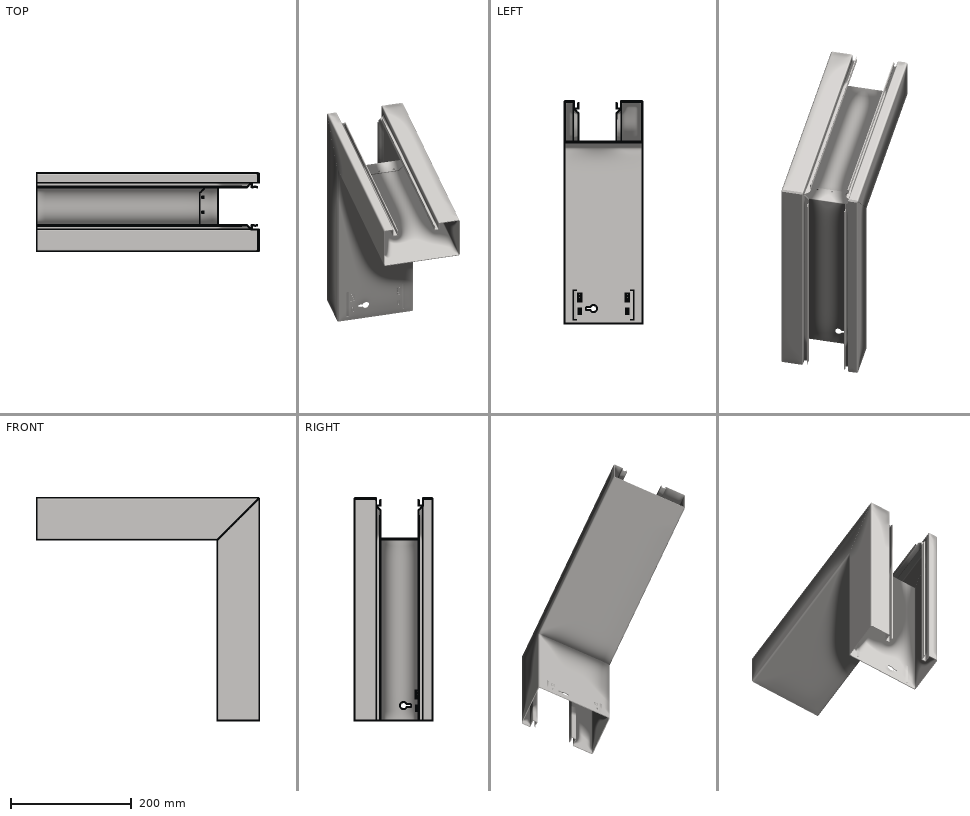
import cadquery as cq
import math

arm_length = 369.52
width = 130.0
depth = 70.0
sheet = 1.3
bend_radius = 3.0

opening_width = 77.0
rear_flange = 16.5
lip_drop = 13.5
lip_shelf = 7.7
lip_bend_radius = 1.8
lip_bead_offset = 0.9
lip_bead_height = 7.2
lip_bead_start = 3.4
lip_relief = 13.5
lip_rise_relief = 30.0

mitre_gap = 0.4
corner_cut = 2.55
joint_tab_length = 30.0
joint_tab_bend = 1.1
rivet_hole_diameter = 3.5
rivet_hole_pitch = 25.0
rivet_hole_edge = 5.0

lance_length = 49.0
lance_width = 4.6
lance_sink = 0.9
lance_inner = 45.2
lance_bottom = 6.8
keyhole_diameter = 11.4
keyhole_slot_width = 4.6
keyhole_corner_radius = 1.15
keyhole_y = 16.6
keyhole_slot_end_y = 29.2
keyhole_z = 25.0
stamp_y = 39.5
stamp_depth = 0.5
stamp_rim = 1.0
stamp_side_rim = 1.3
stamp_pads = 3
stamps = ((6.9, 13.7, 43.5), (4.6, 9.2, 20.6))

half_width = width / 2
inner_corner = arm_length - depth
floor_level = inner_corner + sheet
rear_edge_y = half_width - rear_flange
front_edge_y = rear_edge_y - opening_width


def box(x_range, y_range, z_range):
    size = [high - low for low, high in (x_range, y_range, z_range)]
    return cq.Workplane("XY").box(*size, centered=False).translate((x_range[0], y_range[0], z_range[0]))


def to_other_arm(body):
    """Swap X and Z: carries the horizontal arm's geometry onto the vertical arm."""
    return body.mirror((1, 0, -1))


def cross_prism(points):
    """Prism with the given XZ outline, running across the full width of the part."""
    return cq.Workplane("XZ", origin=(0, half_width, 0)).polyline(points).close().extrude(width)


def rounded_bar(bar_width, bar_depth, radius):
    """Bar along X with rounded long edges, centred on the section of the horizontal arm."""
    bar = cq.Workplane("YZ").rect(bar_width, bar_depth).extrude(arm_length).edges("|X").fillet(radius)
    return bar.translate((0, 0, arm_length - depth / 2))


def trunking_channel():
    """U channel with the opening upwards, running along X."""
    shell = rounded_bar(width, depth, bend_radius)
    bore = rounded_bar(width - 2 * sheet, depth - 2 * sheet, bend_radius - sheet)
    opening_y = (front_edge_y - lip_bend_radius, rear_edge_y + lip_bend_radius)
    opening = box((0, arm_length), opening_y, (arm_length - depth / 2, arm_length))
    return shell.cut(bore).cut(opening)


def lip(edge_y, inward):
    """Rolled lip with its flange bend; inward is the Y direction into the opening."""
    top = arm_length
    shelf_z = top - lip_drop
    tip = lip_shelf - sheet
    rise_z = shelf_z + lip_bend_radius
    lip_top_z = top - lip_bead_start
    bead_z = top - lip_bead_height
    bead_bottom_z = 2 * bead_z - lip_top_z
    flange_overlap = 2 * lip_bend_radius

    outline = [
        (-flange_overlap, top),
        (0, top),
        (0, shelf_z + sheet),
        (tip, shelf_z + sheet),
        (tip, bead_bottom_z),
        (tip - lip_bead_offset, bead_z),
        (tip, lip_top_z),
        (lip_shelf, lip_top_z),
        (lip_shelf - lip_bead_offset, bead_z),
        (lip_shelf, bead_bottom_z),
        (lip_shelf, shelf_z),
        (-sheet, shelf_z),
        (-sheet, top - sheet),
        (-flange_overlap, top - sheet),
    ]
    points = [(edge_y + inward * y, z) for y, z in outline]
    body = cq.Workplane("YZ").polyline(points).close().extrude(arm_length)
    bends = [
        (0, top, lip_bend_radius),
        (-sheet, top - sheet, lip_bend_radius - sheet),
        (-sheet, shelf_z, lip_bend_radius),
        (0, shelf_z + sheet, lip_bend_radius - sheet),
        (lip_shelf, shelf_z, lip_bend_radius),
        (tip, shelf_z + sheet, lip_bend_radius - sheet),
    ]
    for y, z, radius in bends:
        corner = cq.selectors.NearestToPointSelector((arm_length / 2, edge_y + inward * y, z))
        body = body.edges(corner).fillet(radius)

    reach = lip_shelf + sheet
    relief = (
        cq.Workplane("XY")
        .polyline([
            (arm_length - lip_relief, edge_y),
            (arm_length - lip_relief - reach, edge_y + inward * reach),
            (arm_length, edge_y + inward * reach),
            (arm_length, edge_y),
        ])
        .close()
        .extrude(arm_length)
    )
    rise_inner_y = edge_y + inward * (tip - lip_bead_offset)
    rise_outer_y = edge_y + inward * lip_shelf
    rise_x = (arm_length - lip_rise_relief, arm_length)
    rise_relief = box(rise_x, sorted((rise_inner_y, rise_outer_y)), (rise_z, top))
    return body.cut(relief).cut(rise_relief)


def horizontal_arm():
    arm = trunking_channel()
    arm = arm.union(lip(rear_edge_y, -1)).union(lip(front_edge_y, 1))
    beyond_mitre = cross_prism([(0, 0), (arm_length, arm_length), (arm_length, 0)])
    return arm.cut(beyond_mitre)


def cut_mitre_joint(body):
    """Open the mitre seam in the walls and take off the outer corner."""
    seam_start = inner_corner + bend_radius
    seam_end = arm_length - bend_radius
    gap_step = mitre_gap / math.sqrt(2)
    seam = cross_prism([
        (seam_start, seam_start + gap_step),
        (seam_end, seam_end + gap_step),
        (seam_end + gap_step, seam_end),
        (seam_start + gap_step, seam_start),
    ])
    corner = cross_prism([
        (arm_length - corner_cut, arm_length),
        (arm_length, arm_length),
        (arm_length, arm_length - corner_cut),
    ])
    return body.cut(seam).cut(corner)


def add_joint_tab(body):
    """Tapered tab folded from the vertical arm onto the floor of the horizontal arm."""
    tab_root_y = half_width - bend_radius
    tab_end_x = floor_level - joint_tab_length
    tab_end_y = tab_root_y - joint_tab_length
    tab = (
        cq.Workplane("XY", origin=(0, 0, floor_level))
        .polyline([(floor_level, -tab_root_y), (floor_level, tab_root_y),
                   (tab_end_x, tab_end_y), (tab_end_x, -tab_end_y)])
        .close()
        .extrude(sheet)
        .edges(">X and >Z")
        .fillet(joint_tab_bend)
    )
    holes = (
        cq.Workplane("XY", origin=(tab_end_x + rivet_hole_edge, 0, floor_level))
        .rarray(1, rivet_hole_pitch, 1, 3)
        .circle(rivet_hole_diameter / 2)
        .extrude(sheet)
    )
    return body.union(tab.cut(holes))


def lance_wedge(side, face_x):
    """Wedge on a base face at face_x, deepening towards the outer edge of the lance."""
    inner_y = side * lance_inner
    outer_y = side * (lance_inner + lance_width)
    return (
        cq.Workplane("XY", origin=(0, 0, lance_bottom))
        .polyline([(face_x, inner_y), (face_x, outer_y), (face_x + lance_sink, outer_y)])
        .close()
        .extrude(lance_length)
    )


def add_lances(body):
    """Long strips of the base pressed inwards along their outer edge."""
    for side in (-1, 1):
        pressed_in = lance_wedge(side, floor_level)
        hollow = lance_wedge(side, inner_corner)
        body = body.union(pressed_in).cut(hollow)
    return body


def cut_keyhole(body):
    base_plane = cq.Workplane("YZ", origin=(inner_corner, 0, 0))
    head = base_plane.center(keyhole_y, keyhole_z).circle(keyhole_diameter / 2).extrude(sheet)
    neck = box((inner_corner, floor_level), (keyhole_y, keyhole_slot_end_y),
               (keyhole_z - keyhole_slot_width / 2, keyhole_z + keyhole_slot_width / 2))
    return body.cut(head).cut(neck.edges("|X and >Y").fillet(keyhole_corner_radius))


def cut_stamps(body):
    """Shallow rectangular stamps in the outside of the base, each leaving a column of small pads."""
    for side in (-1, 1):
        for stamp_width, stamp_height, stamp_z in stamps:
            row_pitch = (stamp_height - stamp_rim) / stamp_pads
            plane = cq.Workplane("YZ", origin=(inner_corner, side * stamp_y, stamp_z))
            recess = plane.rect(stamp_width, stamp_height).extrude(stamp_depth)
            pads = (
                plane.rarray(1, row_pitch, 1, stamp_pads)
                .rect(stamp_width - 2 * stamp_side_rim, row_pitch - stamp_rim)
                .extrude(stamp_depth)
            )
            body = body.cut(recess.cut(pads))
    return body


first_arm = horizontal_arm()
body = first_arm.union(to_other_arm(first_arm))
body = cut_mitre_joint(body)
body = add_joint_tab(body)
body = add_lances(body)
body = cut_keyhole(body)
result = cut_stamps(body)